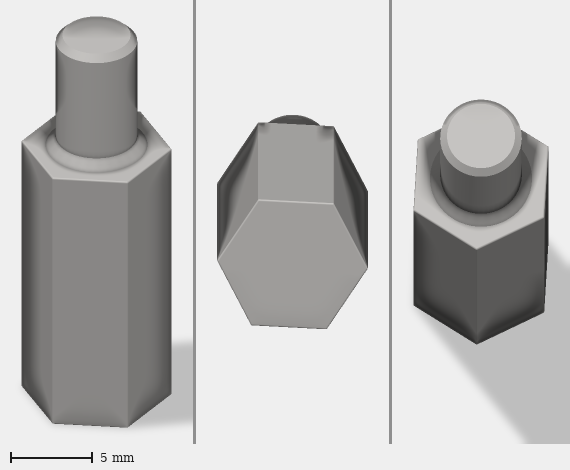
import cadquery as cq
import math

total_length = 26.0
body_length = 18.0
across_flats = 8.0
edge_radius = 0.1

stud_diameter = 5.0
tip_chamfer = 0.42
root_chamfer = 0.62


def make_body():
    """Hexagonal body with corners on the X axis and all edges softly rounded."""
    across_corners = across_flats / math.cos(math.radians(30))
    hexagon = cq.Workplane("XY").polygon(6, across_corners).extrude(body_length)
    return hexagon.edges().fillet(edge_radius)


def make_stud():
    """Stud with a chamfered tip and a conical collar flaring onto the body."""
    radius = stud_diameter / 2
    root_radius = radius + root_chamfer
    base = body_length - edge_radius
    return (
        cq.Workplane("XZ")
        .moveTo(0, base)
        .lineTo(root_radius, base)
        .lineTo(root_radius, body_length)
        .lineTo(radius, body_length + root_chamfer)
        .lineTo(radius, total_length - tip_chamfer)
        .lineTo(radius - tip_chamfer, total_length)
        .lineTo(0, total_length)
        .close()
        .revolve(360, (0, 0, 0), (0, 1, 0))
    )


result = make_body().union(make_stud())